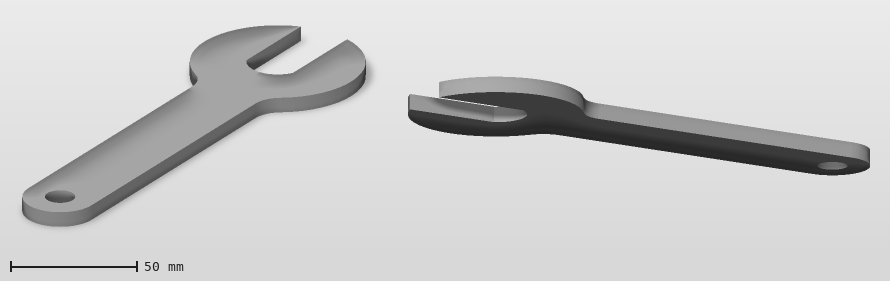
import cadquery as cq
import math

total_length = 204.2
thickness = 6.3
head_radius = 35.0
handle_width = 30.0
neck_fillet = 12.5
hole_diameter = 12.0
jaw_width = 22.0
jaw_floor_radius = 12.5
jaw_floor_depth = 12.5

handle_radius = handle_width / 2
jaw_half_width = jaw_width / 2
tip_y = math.sqrt(head_radius**2 - jaw_half_width**2)
hole_y = tip_y - total_length + handle_radius


def make_blank():
    """Round head and round-ended handle, blended by a fillet on each side of the neck."""
    head = cq.Workplane("XY").circle(head_radius).extrude(thickness)
    handle = (
        cq.Workplane("XY")
        .lineTo(handle_radius, 0)
        .lineTo(handle_radius, hole_y)
        .threePointArc((0, hole_y - handle_radius), (-handle_radius, hole_y))
        .lineTo(-handle_radius, 0)
        .close()
        .extrude(thickness)
    )
    neck_y = -math.sqrt(head_radius**2 - handle_radius**2)
    neck_edges = cq.selectors.BoxSelector(
        (-head_radius, neck_y - 2, 0),
        (head_radius, neck_y + 2, thickness),
    )
    return head.union(handle).edges("|Z").edges(neck_edges).fillet(neck_fillet)


def make_jaw():
    """Straight-sided opening through the head with a shallow arc as its floor."""
    arc_rise = jaw_floor_radius - math.sqrt(jaw_floor_radius**2 - jaw_half_width**2)
    side_end_y = arc_rise - jaw_floor_depth
    return (
        cq.Workplane("XY")
        .moveTo(-jaw_half_width, head_radius)
        .lineTo(-jaw_half_width, side_end_y)
        .threePointArc((0, -jaw_floor_depth), (jaw_half_width, side_end_y))
        .lineTo(jaw_half_width, head_radius)
        .close()
        .extrude(thickness)
    )


def make_hole():
    """Hanging hole, concentric with the rounded end of the handle."""
    return cq.Workplane("XY").center(0, hole_y).circle(hole_diameter / 2).extrude(thickness)


result = make_blank().cut(make_jaw()).cut(make_hole())